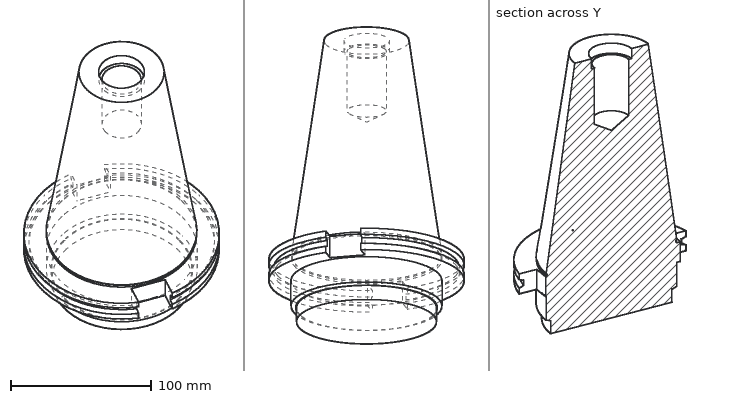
import cadquery as cq
import math

total_height = 212.0
pilot_height = 10.5
chamfer_top = 11.9
flange_bottom = 31.0
flange_top = 47.0
neck_height = 48.3
taper_start = 49.5

pilot_diameter = 100.0
chamfer_diameter = 101.3
body_diameter = 107.9
neck_diameter = 106.4
neck_base_diameter = 107.5
taper_diameter = body_diameter
nose_diameter = 60.8
flange_diameter = 139.7

groove_floor_diameter = 132.5
groove_mouth_width = 6.8
groove_floor_width = 4.2
groove_center = (flange_bottom + flange_top) / 2

slot_width = 25.6
left_slot_floor = 56.5
right_slot_floor = 54.3

counterbore_diameter = 32.6
counterbore_depth = 8.0
bore_diameter = 28.0
bore_depth = 53.0
drill_point_angle = 118.0


def revolve_profile(points):
    """Revolve a closed (radius, height) outline about the Z axis."""
    return cq.Workplane("XZ").polyline(points).close().revolve(360, (0, 0, 0), (0, 1, 0))


def make_body():
    """Pilot, cylindrical body, V-shaped neck and steep taper."""
    return revolve_profile([
        (0, 0),
        (pilot_diameter / 2, 0),
        (pilot_diameter / 2, pilot_height),
        (chamfer_diameter / 2, pilot_height),
        (body_diameter / 2, chamfer_top),
        (body_diameter / 2, flange_bottom),
        (neck_base_diameter / 2, flange_bottom),
        (neck_base_diameter / 2, flange_top),
        (neck_diameter / 2, neck_height),
        (taper_diameter / 2, taper_start),
        (nose_diameter / 2, total_height),
        (0, total_height),
    ])


def make_flange():
    """Grooved flange with a drive slot cut into each X side."""
    rim = flange_diameter / 2
    floor = groove_floor_diameter / 2
    flange = revolve_profile([
        (0, flange_bottom),
        (rim, flange_bottom),
        (rim, groove_center - groove_mouth_width / 2),
        (floor, groove_center - groove_floor_width / 2),
        (floor, groove_center + groove_floor_width / 2),
        (rim, groove_center + groove_mouth_width / 2),
        (rim, flange_top),
        (0, flange_top),
    ])
    for side, slot_floor in ((-1, left_slot_floor), (1, right_slot_floor)):
        slot = (
            cq.Workplane("XY", origin=(side * (slot_floor + rim / 2), 0, flange_bottom))
            .rect(rim, slot_width)
            .extrude(flange_top - flange_bottom)
        )
        flange = flange.cut(slot)
    return flange


def make_bore():
    """Counterbored hole with a conical drill point, as a solid to remove."""
    bore_radius = bore_diameter / 2
    point_depth = bore_radius / math.tan(math.radians(drill_point_angle / 2))
    ledge = total_height - counterbore_depth
    bore_bottom = total_height - bore_depth
    return revolve_profile([
        (0, total_height),
        (counterbore_diameter / 2, total_height),
        (counterbore_diameter / 2, ledge),
        (bore_radius, ledge),
        (bore_radius, bore_bottom),
        (0, bore_bottom - point_depth),
    ])


result = make_body().union(make_flange()).cut(make_bore())